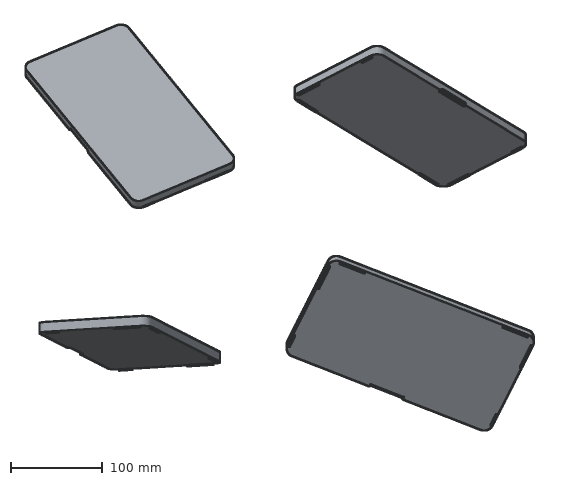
import cadquery as cq

LENGTH = 244.9
WIDTH = 129.0
TOTAL_HEIGHT = 12.5
CORNER_RADIUS = 10.0

FOOT_HEIGHT = 1.5
FOOT_WIDTH = 1.5
FOOT_INSET = 1.0
LONG_FOOT = 30.0
SHORT_FOOT = LONG_FOOT / 2

NOTCH_LENGTH = 40.0
NOTCH_HEIGHT = 3.2
NOTCH_DEPTH = 3.2
NOTCH_CORNER_RADIUS = 2.5

BODY_HEIGHT = TOTAL_HEIGHT - FOOT_HEIGHT

STRAIGHT_X = LENGTH / 2 - CORNER_RADIUS
STRAIGHT_Y = WIDTH / 2 - CORNER_RADIUS

RAIL_X = LENGTH / 2 - FOOT_INSET - FOOT_WIDTH / 2
RAIL_Y = WIDTH / 2 - FOOT_INSET - FOOT_WIDTH / 2


def make_body():
    """Flat block with rounded vertical edges, underside at Z = 0."""
    block = cq.Workplane("XY").box(LENGTH, WIDTH, BODY_HEIGHT, centered=(True, True, False))
    return block.edges("|Z").fillet(CORNER_RADIUS)


def make_notch():
    """Cutter for the notch, open to the front and below, with rounded upper corners."""
    notch = cq.Workplane("XY").box(NOTCH_LENGTH, NOTCH_DEPTH, NOTCH_HEIGHT, centered=(True, False, False))
    notch = notch.edges("|Y and >Z").fillet(NOTCH_CORNER_RADIUS)
    return notch.translate((0, -WIDTH / 2, 0))


def make_foot(size_x, size_y, x, y):
    """Foot rail centred at (x, y), hanging below the underside."""
    return cq.Workplane("XY").center(x, y).rect(size_x, size_y).extrude(-FOOT_HEIGHT)


result = make_body().cut(make_notch())

rear_side_y = STRAIGHT_Y - LONG_FOOT / 2
front_side_y = -STRAIGHT_Y + SHORT_FOOT / 2
for side in (-1, 1):
    rear_x = side * (STRAIGHT_X - LONG_FOOT / 2)
    result = result.union(make_foot(LONG_FOOT, FOOT_WIDTH, rear_x, RAIL_Y))
    result = result.union(make_foot(FOOT_WIDTH, LONG_FOOT, side * RAIL_X, rear_side_y))
    result = result.union(make_foot(FOOT_WIDTH, SHORT_FOOT, side * RAIL_X, front_side_y))